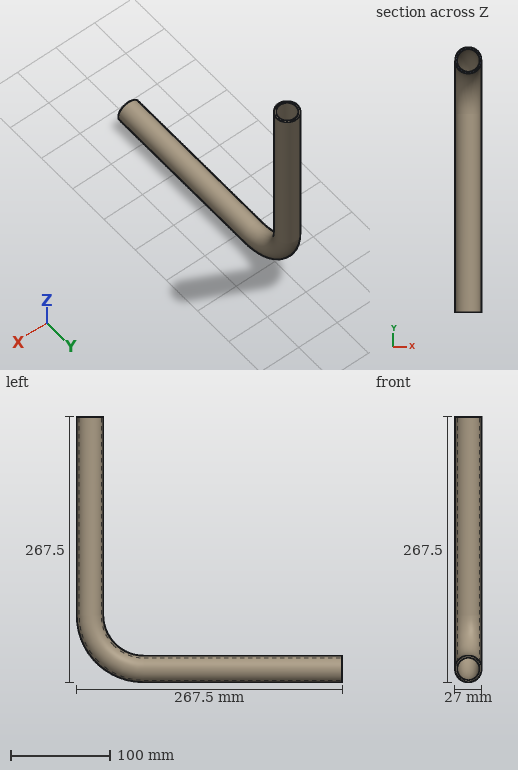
import cadquery as cq

overall_length = 267.5
outer_diameter = 27.0
wall_thickness = 2.3
bend_radius = 54.0

inner_diameter = outer_diameter - 2 * wall_thickness
leg_length = overall_length - bend_radius - outer_diameter / 2

centreline = (
    cq.Workplane("YZ")
    .moveTo(-leg_length, 0)
    .lineTo(0, 0)
    .tangentArcPoint((bend_radius, bend_radius))
    .lineTo(bend_radius, bend_radius + leg_length)
)

result = (
    cq.Workplane("XZ", origin=(0, -leg_length, 0))
    .circle(outer_diameter / 2)
    .circle(inner_diameter / 2)
    .sweep(centreline)
)